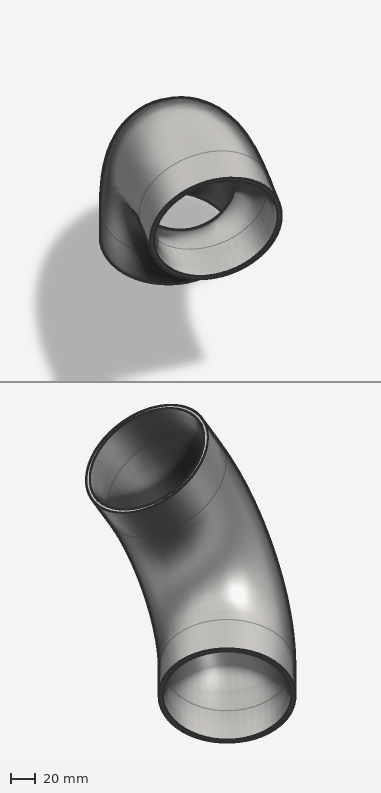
import cadquery as cq

overall_size = 197.0
outer_diameter = 110.0
bore_diameter = 103.2
bend_radius = outer_diameter
bend_angle = 90.0

collar_length = overall_size - bend_radius - outer_diameter / 2


def pipe_ring(plane):
    """Annular pipe section at the origin of a workplane."""
    return cq.Workplane(plane).circle(outer_diameter / 2).circle(bore_diameter / 2)


lower_collar = pipe_ring("XY").extrude(collar_length)

bend = (
    pipe_ring(cq.Plane.XY(origin=(0, 0, collar_length)))
    .revolve(bend_angle, (bend_radius, 0, 0), (bend_radius, 1, 0))
)

outlet_plane = cq.Plane(
    origin=(bend_radius, 0, collar_length + bend_radius),
    xDir=(0, 1, 0),
    normal=(1, 0, 0),
)
outlet_collar = pipe_ring(outlet_plane).extrude(collar_length)

result = lower_collar.union(bend).union(outlet_collar)